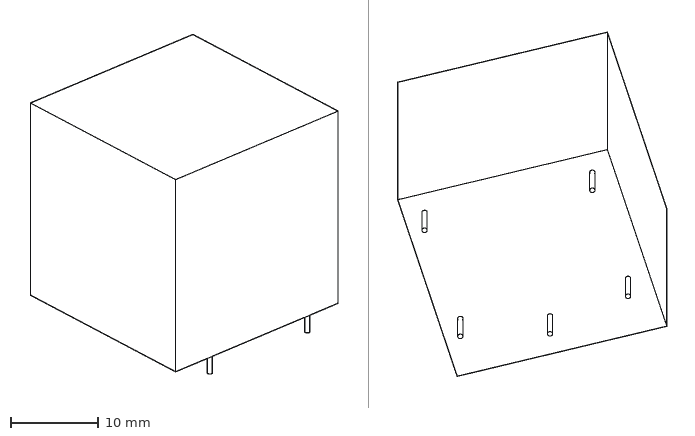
import cadquery as cq

TOTAL_HEIGHT = 28.8
HOUSING_SIDE = 25.0
PIN_LENGTH = TOTAL_HEIGHT - HOUSING_SIDE

PIN_DIAMETER = 0.6
PIN_X_PITCH = 10.0
REAR_ROW_Y = 10.0
MIDDLE_ROW_Y = -5.0
FRONT_ROW_Y = -7.5

PIN_CENTERS = [
    (-PIN_X_PITCH, REAR_ROW_Y),
    (PIN_X_PITCH, REAR_ROW_Y),
    (-PIN_X_PITCH, MIDDLE_ROW_Y),
    (PIN_X_PITCH, MIDDLE_ROW_Y),
    (0, FRONT_ROW_Y),
]


def make_housing():
    """Plain cube standing on the plane Z = 0."""
    return cq.Workplane("XY").box(HOUSING_SIDE, HOUSING_SIDE, HOUSING_SIDE, centered=(True, True, False))


def make_pin(center):
    """Round pin hanging from the underside of the housing."""
    return cq.Workplane("XY").center(*center).circle(PIN_DIAMETER / 2).extrude(-PIN_LENGTH)


housing = make_housing()
pins = [make_pin(center) for center in PIN_CENTERS]

result = cq.Compound.makeCompound([housing.val(), *[pin.val() for pin in pins]])